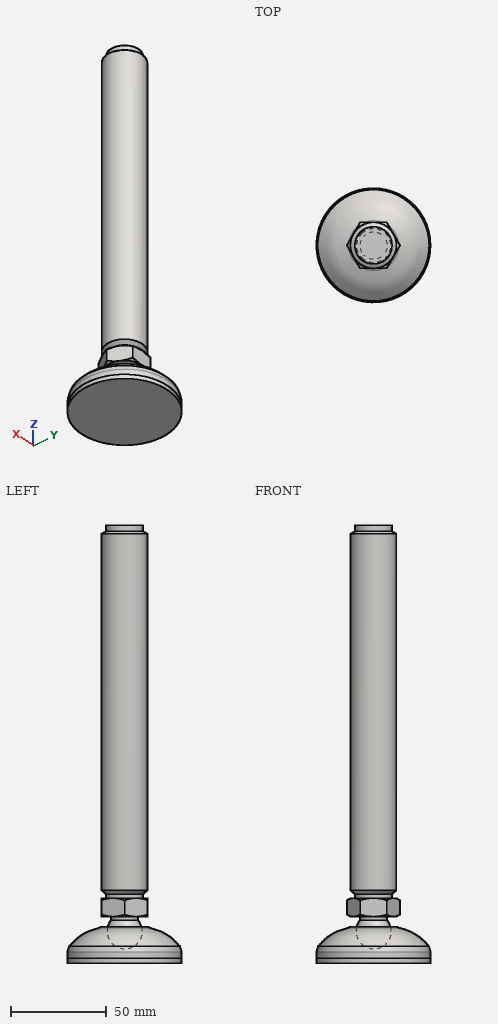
import cadquery as cq
import math

foot_radius = 59.8 / 2
pad_height = 2.8

rim_top = 6.2
shoulder_top = 9.0
shoulder_radius = 29.0
dome_mid_radius = 23.5
dome_mid_height = 14.2
crown_radius = 12.1
dome_top_radius = 13.0
dome_top = 18.8
crown_height = 19.3

neck_radius = 7.0
neck_bottom = 22.7
ball_radius = 9.2
ball_center = neck_bottom - math.sqrt(ball_radius**2 - neck_radius**2)
hex_flats = 24.0
hex_corners = hex_flats / math.cos(math.pi / 6)
hex_bottom = 24.5
hex_top = 34.2
hex_chamfer_angle = math.radians(30)
rod_radius = hex_flats / 2
core_radius = 19.5 / 2
rod_bottom = 36.2
rod_bottom_chamfer = 2.0
rod_top = 226.0
rod_top_chamfer = 1.4
stud_top = 229.2


def make_ball():
    return cq.Workplane("XY").sphere(ball_radius).translate((0, 0, ball_center))


def make_pad():
    return cq.Workplane("XY").circle(foot_radius).extrude(pad_height)


def make_foot():
    """Domed foot with a spherical socket that fits the ball of the stud."""
    blank = (
        cq.Workplane("XZ")
        .moveTo(0, pad_height)
        .lineTo(foot_radius, pad_height)
        .lineTo(foot_radius, rim_top)
        .lineTo(shoulder_radius, shoulder_top)
        .threePointArc((dome_mid_radius, dome_mid_height), (dome_top_radius, dome_top))
        .lineTo(crown_radius, crown_height)
        .lineTo(0, crown_height)
        .close()
        .revolve(360, (0, 0, 0), (0, 1, 0))
    )
    return blank.cut(make_ball())


def make_hexagon():
    """Hexagon with corners along X, its corners turned off conically at both ends."""
    prism = (
        cq.Workplane("XY")
        .workplane(offset=hex_bottom)
        .polygon(6, hex_corners)
        .extrude(hex_top - hex_bottom)
    )
    face_radius = hex_flats / 2
    corner_radius = hex_corners / 2
    chamfer_height = (corner_radius - face_radius) * math.tan(hex_chamfer_angle)
    turned = (
        cq.Workplane("XZ")
        .moveTo(0, hex_bottom)
        .lineTo(face_radius, hex_bottom)
        .lineTo(corner_radius, hex_bottom + chamfer_height)
        .lineTo(corner_radius, hex_top - chamfer_height)
        .lineTo(face_radius, hex_top)
        .lineTo(0, hex_top)
        .close()
        .revolve(360, (0, 0, 0), (0, 1, 0))
    )
    return prism.intersect(turned)


def make_rod():
    """Rod with conical ends between the undercut and the plain tip."""
    return (
        cq.Workplane("XZ")
        .moveTo(0, hex_top)
        .lineTo(core_radius, hex_top)
        .lineTo(core_radius, rod_bottom)
        .lineTo(rod_radius, rod_bottom + rod_bottom_chamfer)
        .lineTo(rod_radius, rod_top - rod_top_chamfer)
        .lineTo(core_radius, rod_top)
        .lineTo(core_radius, stud_top)
        .lineTo(0, stud_top)
        .close()
        .revolve(360, (0, 0, 0), (0, 1, 0))
    )


def make_stud():
    neck = (
        cq.Workplane("XY")
        .workplane(offset=ball_center)
        .circle(neck_radius)
        .extrude(hex_bottom - ball_center)
    )
    return make_ball().union(neck).union(make_hexagon()).union(make_rod())


pad = make_pad()
foot = make_foot()
stud = make_stud()

result = cq.Compound.makeCompound([pad.val(), foot.val(), stud.val()])